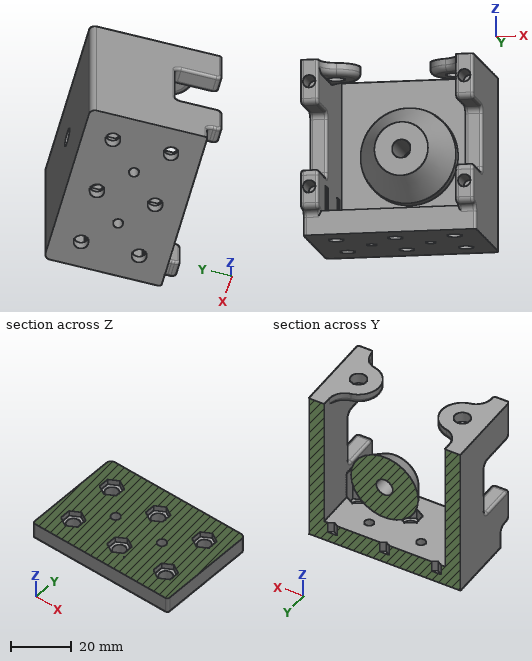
import cadquery as cq
import math

width = 58.0
depth = 45.0
height = 58.0
side_wall = 6.0
back_wall = 4.0
floor_thickness = 8.0
front_step = 5.0
back_corner_radius = 2.0
half_width = width / 2
inner_half_width = half_width - side_wall
front = -depth
floor_front = front + front_step

notch_depth = 16.0
notch_bottom = 21.15
notch_top = 43.05
outline_radius = 2.0
edge_radius = 1.0

tab_hole_diameter = 4.2
tab_hole_depth = 10.0
tab_hole_heights = (15.35, 50.7)

boss_height = 32.0
boss_diameter = 32.0
boss_tip_diameter = 18.0
boss_straight = 4.0
boss_taper = 12.0
boss_bore = 6.15

bolt_pitch = 19.85
front_row = -30.0
back_row = front_row + bolt_pitch
bolt_diameter = 4.95
hex_across_corners = 8.1
hex_depth = 4.0
wall_relief_height = 10.0
centre_hole_diameter = 3.3

ear_thickness = 4.0
ear_radius = 8.0
ear_blend_radius = 6.0
ear_edge_radius = 2.0
ear_hole_diameter = 5.8


def side_wall_body():
    """Right-hand wall, with its front outline rounded on both faces."""
    outline = [
        (0, 0),
        (floor_front, 0),
        (floor_front, floor_thickness),
        (front, floor_thickness),
        (front, notch_bottom),
        (front + notch_depth, notch_bottom),
        (front + notch_depth, notch_top),
        (front, notch_top),
        (front, height),
        (0, height),
    ]
    wall = cq.Workplane("YZ", origin=(inner_half_width, 0, 0)).polyline(outline).close().extrude(side_wall)
    margin = edge_radius / 2
    front_region = cq.selectors.BoxSelector(
        (0, front - margin, margin), (width, front + notch_depth + margin, height - margin)
    )
    wall = wall.edges("|X").edges(front_region).fillet(outline_radius)
    return wall.faces("<X or >X").edges(front_region).fillet(edge_radius)


def ear_body():
    """Right-hand ear: a round lobe blended into the wall by two concave arcs."""
    blend_x = inner_half_width - ear_blend_radius
    span_x = bolt_pitch - blend_x
    centre_distance = ear_radius + ear_blend_radius
    span_y = math.sqrt(centre_distance**2 - span_x**2)
    touch_x = bolt_pitch - span_x * ear_radius / centre_distance
    touch_y = span_y * ear_radius / centre_distance
    half_angle = math.atan2(span_y, span_x) / 2
    middle_x = blend_x + ear_blend_radius * math.cos(half_angle)
    middle_y = span_y - ear_blend_radius * math.sin(half_angle)
    root_x = inner_half_width + side_wall / 2
    ear = (
        cq.Workplane("XY", origin=(0, front_row, height - ear_thickness))
        .moveTo(root_x, span_y)
        .lineTo(inner_half_width, span_y)
        .threePointArc((middle_x, middle_y), (touch_x, touch_y))
        .threePointArc((bolt_pitch - ear_radius, 0), (touch_x, -touch_y))
        .threePointArc((middle_x, -middle_y), (inner_half_width, -span_y))
        .lineTo(root_x, -span_y)
        .close()
        .extrude(ear_thickness)
    )
    ear = ear.faces("<Z").edges("%CIRCLE").fillet(ear_edge_radius)
    hole = (
        cq.Workplane("XY", origin=(bolt_pitch, front_row, height - ear_thickness))
        .circle(ear_hole_diameter / 2)
        .extrude(ear_thickness)
    )
    return ear.cut(hole)


def boss_body():
    """Straight collar followed by a cone, standing on the back wall."""
    base_radius = boss_diameter / 2
    straight_end = -back_wall - boss_straight
    tip = straight_end - boss_taper
    half_section = [
        (0, 0),
        (base_radius, 0),
        (base_radius, straight_end),
        (boss_tip_diameter / 2, tip),
        (0, tip),
    ]
    boss = cq.Workplane("XY").polyline(half_section).close().revolve(360, (0, 0), (0, 1))
    return boss.translate((0, 0, boss_height))


def floor_cutters():
    """Bolt holes with hex pockets, and the small hole centred in each group of four."""
    bolts = [(column * bolt_pitch, row) for column in (-1, 0, 1) for row in (front_row, back_row)]
    middle_row = (front_row + back_row) / 2
    centres = [(-bolt_pitch / 2, middle_row), (bolt_pitch / 2, middle_row)]
    holes = cq.Workplane("XY").pushPoints(bolts).circle(bolt_diameter / 2).extrude(floor_thickness)
    small_holes = (
        cq.Workplane("XY").pushPoints(centres).circle(centre_hole_diameter / 2).extrude(floor_thickness)
    )
    hexagon = (
        cq.Workplane("XY", origin=(0, 0, floor_thickness - hex_depth))
        .polygon(6, hex_across_corners)
        .extrude(hex_depth + wall_relief_height)
        .rotate((0, 0, 0), (0, 0, 1), 90)
    )
    pockets = [hexagon.translate((x, y, 0)) for x, y in bolts]
    return [holes, small_holes] + pockets


floor_width = width - 2 * edge_radius
centring = (True, False, False)
floor_plate = cq.Workplane("XY", origin=(0, floor_front, 0)).box(
    floor_width, -floor_front, floor_thickness, centered=centring
)
back_plate = cq.Workplane("XY", origin=(0, -back_wall, 0)).box(
    width, back_wall, height, centered=centring
)

right_wall = side_wall_body()
right_ear = ear_body()
body = floor_plate.union(back_plate)
for side_part in (right_wall, right_ear):
    body = body.union(side_part).union(side_part.mirror("YZ"))
body = body.edges("|Z and >Y").fillet(back_corner_radius)

for cutter in floor_cutters():
    body = body.cut(cutter)

body = body.union(boss_body())
bore = cq.Workplane("XZ", origin=(0, 0, boss_height)).circle(boss_bore / 2).extrude(depth)
body = body.cut(bore)

tab_hole_x = half_width - side_wall / 2
tab_holes = (
    cq.Workplane("XZ", origin=(0, front + tab_hole_depth, 0))
    .pushPoints([(side * tab_hole_x, z) for side in (-1, 1) for z in tab_hole_heights])
    .circle(tab_hole_diameter / 2)
    .extrude(tab_hole_depth)
)
result = body.cut(tab_holes)